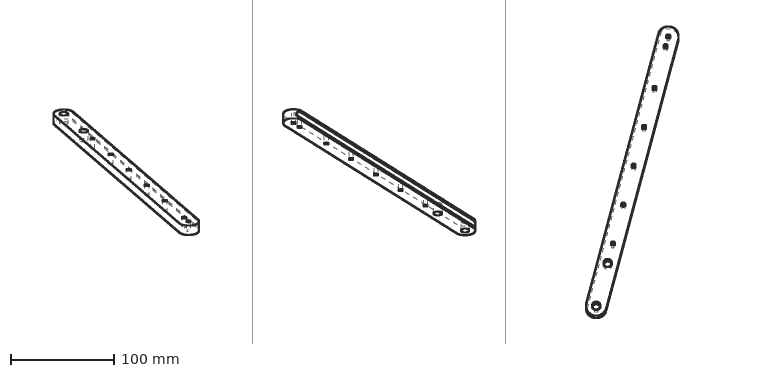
import cadquery as cq

length = 297.0
width = 20.0
thickness = 10.0
end_radius = width / 2

large_hole_diameter = 8.0
large_hole_distances = [0.0, 44.0]

small_hole_diameter = 4.0
row_start = 64.0
row_pitch = 40.0
row_count = 5
end_centre_spacing = length - 2 * end_radius
end_pair_pitch = 10.0

groove_radius = 3.25
groove_depth = 2.0


def make_bar():
    """Flat bar with fully rounded ends, centred on the origin."""
    return cq.Workplane("XY").slot2D(length, width).extrude(thickness / 2, both=True)


def make_holes(diameter, distances):
    """Vertical through cutters on the bar's centre line."""
    points = [(distance - end_centre_spacing / 2, 0) for distance in distances]
    return (
        cq.Workplane("XY")
        .pushPoints(points)
        .circle(diameter / 2)
        .extrude(thickness, both=True)
    )


def make_side_groove():
    """Cylindrical cutter running the full length at mid-thickness."""
    axis_y = width / 2 - groove_depth + groove_radius
    return (
        cq.Workplane("YZ")
        .center(axis_y, 0)
        .circle(groove_radius)
        .extrude(length, both=True)
    )


row_distances = [row_start + i * row_pitch for i in range(row_count)]
end_pair_distances = [end_centre_spacing - end_pair_pitch, end_centre_spacing]

result = (
    make_bar()
    .cut(make_holes(large_hole_diameter, large_hole_distances))
    .cut(make_holes(small_hole_diameter, row_distances + end_pair_distances))
    .cut(make_side_groove())
)